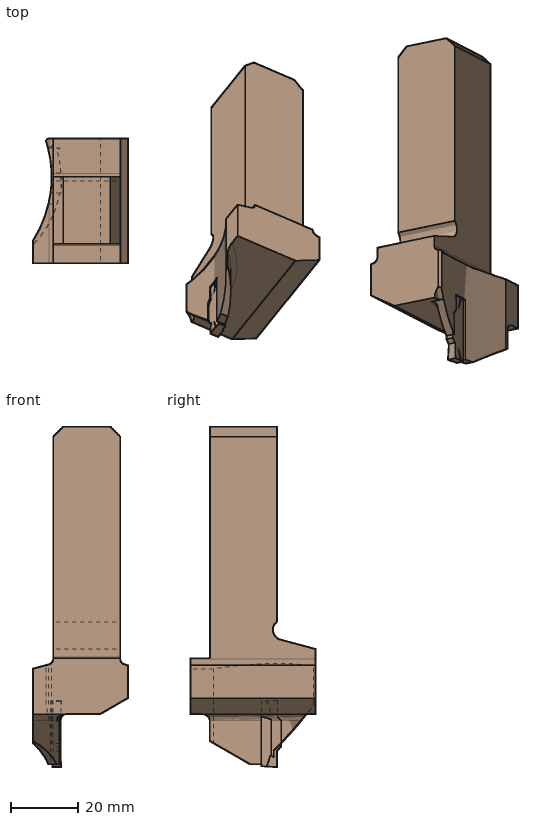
import cadquery as cq
import math


shank_size = 20.0
shank_top = 101.5
shank_chamfer = 3.0

head_width = 28.3
head_depth = 37.28
head_left = -6.0
head_right = head_left + head_width
head_front = -5.8
head_back = head_front + head_depth
head_bottom = 15.8
shelf_height = 32.5
shelf_fillet = 0.4
shoulder_corner_height = 31.0
shoulder_angle = 15.0
shoulder_fillet = 1.75
under_chamfer_angle = 30.0
under_chamfer_height = 4.8

back_edge_height = 35.25
back_slope_angle = 15.0
gullet_radius = 3.0
gullet_depth = 1.2

crest_y = 20.0
inner_radius = 35.5
inner_crest_x = -0.5
outer_radius = 28.6
outer_crest_x = 2.25
blade_front = -0.5
blade_bottom = 0.85
blade_flat_start = 12.0
blade_slope_angle = 30.0
blade_fillet = 1.75
back_corner_chamfer = 0.7

relief_low = (19.0, 5.0)
relief_middle = (25.5, 11.8)
relief_high = (head_back, 19.6)
relief_fillet = 1.75

insert_length = 20.0
insert_front = 15.3
rake_y = 20.0
insert_end_relief = 0.3
insert_bulge = 1.2
bulge_base_inset = 4.9
body_left = -0.1
body_right = 2.2
cutting_left = -0.3
cutting_right = 2.45
cutting_depth = 3.5
cutting_back_y = 18.0
cutting_tip_y = 16.9

margin = 5.0


def tan_deg(angle):
    return math.tan(math.radians(angle))


def extrude_along_x(points, x_start, x_end):
    return cq.Workplane("YZ", origin=(x_start, 0, 0)).polyline(points).close().extrude(x_end - x_start)


def extrude_along_y(points, y_start, y_end):
    return cq.Workplane("XZ", origin=(0, y_start, 0)).polyline(points).close().extrude(y_start - y_end)


def upright_cylinder(radius, crest_x, z_start, z_end):
    return (
        cq.Workplane("XY", origin=(crest_x - radius, crest_y, z_start))
        .circle(radius)
        .extrude(z_end - z_start)
    )


def front_profile():
    """Shank and head outline across X, full depth in Y, with filleted shoulders."""
    slope = tan_deg(shoulder_angle)
    left_height = shoulder_corner_height + head_left * slope
    right_height = shoulder_corner_height - (head_right - shank_size) * slope
    under_run = under_chamfer_height / tan_deg(under_chamfer_angle)
    outline = [
        (head_left, head_bottom),
        (head_right - under_run, head_bottom),
        (head_right, head_bottom + under_chamfer_height),
        (head_right, right_height),
        (shank_size, shoulder_corner_height),
        (shank_size, shank_top - shank_chamfer),
        (shank_size - shank_chamfer, shank_top),
        (shank_chamfer, shank_top),
        (0, shank_top - shank_chamfer),
        (0, shoulder_corner_height),
        (head_left, left_height),
    ]
    body = extrude_along_y(outline, head_front, head_back)
    for x in (0, shank_size):
        corner = cq.selectors.NearestToPointSelector(
            (x, (head_front + head_back) / 2, shoulder_corner_height)
        )
        body = body.edges(corner).fillet(shoulder_fillet)
    return body


def side_profile():
    """Shank and head outline across Y, with the front shelf and the back gullet."""
    slope = tan_deg(back_slope_angle)
    angle = math.radians(back_slope_angle)
    center_y = shank_size - gullet_depth + gullet_radius
    center_z = back_edge_height + (head_back - center_y) * slope + gullet_radius / math.cos(angle)
    tangent = (
        center_y - gullet_radius * math.sin(angle),
        center_z - gullet_radius * math.cos(angle),
    )
    deepest = (shank_size - gullet_depth, center_z)
    gullet_rise = math.sqrt(gullet_radius**2 - (center_y - shank_size) ** 2)
    return (
        cq.Workplane("YZ", origin=(head_left, 0, 0))
        .moveTo(head_front, head_bottom)
        .lineTo(head_back, head_bottom)
        .lineTo(head_back, back_edge_height)
        .lineTo(*tangent)
        .threePointArc(deepest, (shank_size, center_z + gullet_rise))
        .lineTo(shank_size, shank_top)
        .lineTo(0, shank_top)
        .lineTo(0, shelf_height + shelf_fillet)
        .radiusArc((-shelf_fillet, shelf_height), shelf_fillet)
        .lineTo(head_front, shelf_height)
        .close()
        .extrude(head_right - head_left)
    )


def support_blade():
    """Blade below the head, inside the outer cylinder, with a root fillet around it."""
    slope_height = blade_bottom + (blade_flat_start - blade_front) * tan_deg(blade_slope_angle)
    bottom_outline = [
        (head_front, head_bottom),
        (head_front, head_bottom - blade_fillet),
        (blade_front, head_bottom - blade_fillet),
        (blade_front, slope_height),
        (blade_flat_start, blade_bottom),
        (head_back, blade_bottom),
        (head_back, head_bottom),
    ]
    envelope = extrude_along_x(bottom_outline, head_left, head_right)
    axis_x = outer_crest_x - outer_radius
    flared_cylinder = (
        cq.Workplane("XZ", origin=(axis_x, crest_y, 0))
        .moveTo(0, 0)
        .lineTo(outer_radius, 0)
        .lineTo(outer_radius, head_bottom - blade_fillet)
        .radiusArc((outer_radius + blade_fillet, head_bottom), blade_fillet)
        .lineTo(0, head_bottom)
        .close()
        .revolve(360, (0, 0, 0), (0, 1, 0))
    )
    return flared_cylinder.intersect(envelope)


def back_relief():
    """Cutter for the relief under the back of the blade.

    Above the head bottom it stops at the outer cylinder, with a fillet.
    """
    wedge = (
        cq.Workplane("YZ", origin=(head_left - margin, 0, 0))
        .moveTo(*relief_low)
        .threePointArc(relief_middle, relief_high)
        .lineTo(head_back + margin, relief_high[1])
        .lineTo(head_back + margin, 0)
        .lineTo(relief_low[0], 0)
        .close()
        .extrude(head_right - head_left + 2 * margin)
    )
    below_head_width = 4 * head_back
    below_head = cq.Workplane("XY").box(
        below_head_width, below_head_width, head_bottom, centered=(True, True, False)
    )
    inside_blade = wedge.intersect(upright_cylinder(outer_radius, outer_crest_x, 0, shelf_height))
    edge_reach = relief_middle[0] - crest_y
    edge_x = outer_crest_x - outer_radius + math.sqrt(outer_radius**2 - edge_reach**2)
    long_edge = cq.selectors.NearestToPointSelector((edge_x, *relief_middle))
    inside_blade = inside_blade.edges(long_edge).fillet(relief_fillet)
    return wedge.intersect(below_head).union(inside_blade)


def back_corner_cut():
    """Cutter for the chamfer where the concave flank meets the back face of the head."""
    reach = head_back - back_corner_chamfer - crest_y
    flank_x = inner_crest_x - inner_radius + math.sqrt(inner_radius**2 - reach**2)
    return (
        cq.Workplane("XY")
        .moveTo(flank_x, head_back - back_corner_chamfer)
        .lineTo(flank_x + back_corner_chamfer, head_back)
        .lineTo(flank_x - margin, head_back)
        .lineTo(flank_x - margin, head_back - back_corner_chamfer)
        .close()
        .extrude(shelf_height)
    )


def insert_outline():
    """Side outline of the insert in Y and Z, symmetric about its middle."""
    lower_half = [
        (insert_front, insert_end_relief),
        (rake_y, 0),
        (rake_y, bulge_base_inset),
        (rake_y + insert_bulge, bulge_base_inset + insert_bulge),
    ]
    upper_half = [(y, insert_length - z) for y, z in reversed(lower_half)]
    return lower_half + upper_half


def cutting_end():
    """Lower cutting end, wider than the insert body and tapering back to it."""
    width_profile = [
        (cutting_left, 0),
        (cutting_right, 0),
        (body_right, cutting_depth),
        (body_left, cutting_depth),
    ]
    side_outline = [
        (cutting_tip_y, 0),
        (rake_y, 0),
        (rake_y, cutting_depth),
        (cutting_back_y, cutting_depth),
    ]
    tapered = extrude_along_y(width_profile, insert_front, rake_y)
    return tapered.intersect(extrude_along_x(side_outline, cutting_left, cutting_right))


def make_insert():
    body = extrude_along_x(insert_outline(), body_left, body_right)
    lower_end = cutting_end().intersect(extrude_along_x(insert_outline(), cutting_left, cutting_right))
    upper_end = lower_end.mirror("XY", (0, 0, insert_length / 2))
    return body.union(lower_end).union(upper_end)


def make_holder(insert):
    holder = front_profile().intersect(side_profile()).union(support_blade())
    holder = holder.cut(upright_cylinder(inner_radius, inner_crest_x, 0, shoulder_corner_height))
    holder = holder.cut(back_relief()).cut(back_corner_cut())
    seat = extrude_along_x(insert_outline(), head_left, body_right)
    return holder.cut(seat).cut(insert)


insert = make_insert()
holder = make_holder(insert)

result = cq.Compound.makeCompound([holder.val(), insert.val()])